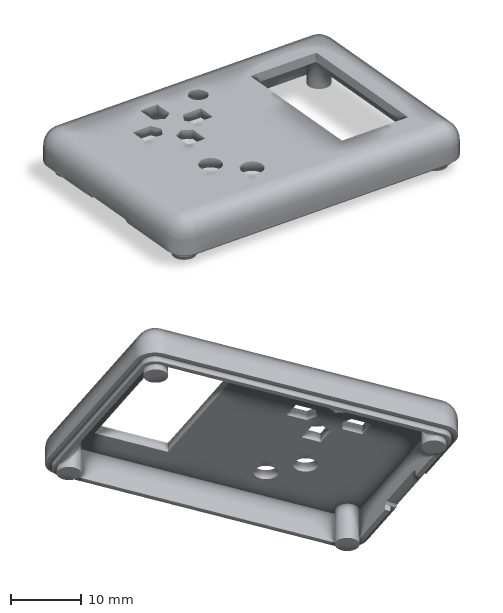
import cadquery as cq
import math

width = 35.55
length = 50.55
total_height = 7.3
edge_radius = 3.0
skirt_height = 5.5

lip_inset = 0.95
lip_drop = 0.85
lip_thickness = 0.8
plate_thickness = 1.5
cavity_inset = lip_inset + lip_thickness
cavity_ceiling = skirt_height - plate_thickness

peg_diameter = 3.55
peg_side_distance = 3.4
peg_end_distance = 3.3
peg_bottom = skirt_height - total_height

notch_width = 10.0
notch_rise = 0.35
notch_chamfer = 0.4

window_width = 22.65
window_length = 11.6
window_center_y = 13.6

pad_center = (-6.35, -9.25)
pad_reach = 5.95
pad_tip_distance = 1.95
pad_arm_width = 3.0
pad_tip_angle = 30

small_hole_diameter = 3.0
small_hole_center = (-11.2, -1.35)
button_diameter = 3.55
button_centers = [(10.25, -7.2), (6.0, -11.4)]


def rounded_block(inset, bottom, top):
    """Block following the case outline, moved inward by inset."""
    return (
        cq.Workplane("XY")
        .workplane(offset=bottom)
        .rect(width - 2 * inset, length - 2 * inset)
        .extrude(top - bottom)
        .edges("|Z")
        .fillet(edge_radius - inset)
    )


def make_shell():
    """Hollow case with a rounded top and a stepped lip."""
    skirt = rounded_block(0, 0, skirt_height).faces(">Z").edges().fillet(edge_radius)
    lip = rounded_block(lip_inset, -lip_drop, cavity_ceiling)
    cavity = rounded_block(cavity_inset, -lip_drop, cavity_ceiling)
    return skirt.union(lip).cut(cavity)


def make_pegs():
    """Four corner pegs hanging from the plate to below the lip."""
    return (
        cq.Workplane("XY")
        .workplane(offset=peg_bottom)
        .rect(width - 2 * peg_side_distance, length - 2 * peg_end_distance, forConstruction=True)
        .vertices()
        .circle(peg_diameter / 2)
        .extrude(cavity_ceiling - peg_bottom)
    )


def make_notch():
    """Cutter through the full depth of the -Y wall, with chamfered upper corners."""
    notch_height = lip_drop + notch_rise
    return (
        cq.Workplane("XY")
        .box(notch_width, cavity_inset, notch_height, centered=(True, False, False))
        .edges("|Y and >Z")
        .chamfer(notch_chamfer)
        .translate((0, -length / 2, -lip_drop))
    )


def plate_plane():
    """Workplane on the underside of the top plate."""
    return cq.Workplane("XY").workplane(offset=cavity_ceiling)


def plate_cutter(outline):
    """Extrude a closed outline from the plate underside through the plate."""
    return outline.extrude(plate_thickness)


def make_pad_arm(angle):
    """Pad opening whose pointed end faces the pad center."""
    half_arm = pad_arm_width / 2
    shoulder = pad_tip_distance + half_arm * math.tan(math.radians(pad_tip_angle))
    outline = plate_plane().polyline(
        [
            (pad_tip_distance, 0),
            (shoulder, half_arm),
            (pad_reach, half_arm),
            (pad_reach, -half_arm),
            (shoulder, -half_arm),
        ]
    ).close()
    arm = plate_cutter(outline).rotate((0, 0, 0), (0, 0, 1), angle)
    return arm.translate((*pad_center, 0))


window = plate_cutter(plate_plane().center(0, window_center_y).rect(window_width, window_length))
small_hole = plate_cutter(plate_plane().center(*small_hole_center).circle(small_hole_diameter / 2))
buttons = plate_cutter(plate_plane().pushPoints(button_centers).circle(button_diameter / 2))

result = make_shell().cut(make_notch()).union(make_pegs())
result = result.cut(window).cut(small_hole).cut(buttons)
for arm_angle in (0, 90, 180, 270):
    result = result.cut(make_pad_arm(arm_angle))